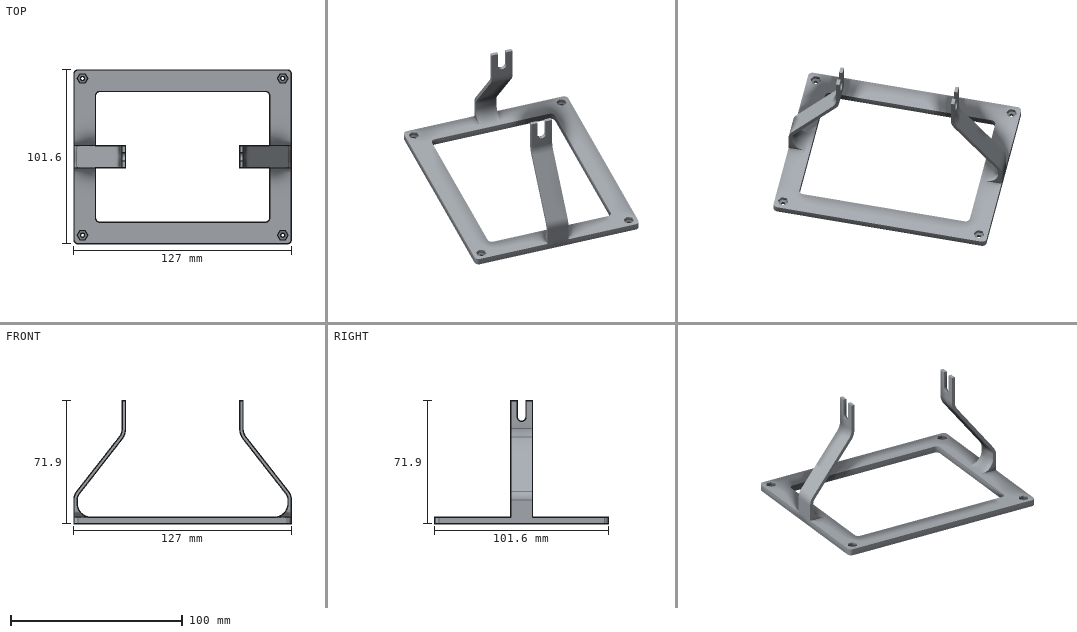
import cadquery as cq
import math

length = 127.0
width = 101.6
height = 71.9
plate_thickness = 4.0
rim_width = 12.7
corner_radius = 2.5

hole_diameter = 2.3
hole_inset = 5.1
nut_across_flats = 5.3
nut_depth = 2.0

strap_width = 13.0
strap_thickness = 2.0
strap_reach = 30.2
lower_bend_z = 16.8
upper_bend_z = 52.8
bend_outer_radius = 8.0
bend_inner_radius = bend_outer_radius - strap_thickness
foot_fillet = 8.0

slot_width = 5.0
slot_depth = 12.0


def make_frame():
    frame = cq.Workplane("XY").box(length, width, plate_thickness, centered=(True, True, False))
    window = cq.Workplane("XY").box(
        length - 2 * rim_width, width - 2 * rim_width, plate_thickness, centered=(True, True, False)
    )
    frame = frame.edges("|Z").fillet(corner_radius)
    frame = frame.cut(window.edges("|Z").fillet(corner_radius))

    hole_grid = (length - 2 * hole_inset, width - 2 * hole_inset)
    nut_across_corners = nut_across_flats / math.cos(math.radians(30))
    top = frame.faces(">Z").workplane(origin=(0, 0, plate_thickness))
    frame = top.rect(*hole_grid, forConstruction=True).vertices().hole(hole_diameter)
    nuts = (
        cq.Workplane("XY", origin=(0, 0, plate_thickness - nut_depth))
        .rect(*hole_grid, forConstruction=True)
        .vertices()
        .polygon(6, nut_across_corners)
        .extrude(nut_depth)
    )
    return frame.cut(nuts)


def make_left_strap():
    outer_x = -length / 2
    inner_x = outer_x + strap_thickness
    tip_inner_x = outer_x + strap_reach
    tip_outer_x = tip_inner_x - strap_thickness

    bend_angle = math.atan2(tip_outer_x - outer_x, upper_bend_z - lower_bend_z)
    corner_drop = strap_thickness * math.tan(bend_angle / 2)
    lower_outer = (outer_x, lower_bend_z)
    lower_inner = (inner_x, lower_bend_z - corner_drop)
    upper_outer = (tip_outer_x, upper_bend_z)
    upper_inner = (tip_inner_x, upper_bend_z - corner_drop)

    strap = (
        cq.Workplane("XZ")
        .moveTo(outer_x, plate_thickness)
        .lineTo(*lower_outer)
        .lineTo(*upper_outer)
        .lineTo(tip_outer_x, height)
        .lineTo(tip_inner_x, height)
        .lineTo(*upper_inner)
        .lineTo(*lower_inner)
        .lineTo(inner_x, plate_thickness + foot_fillet)
        .radiusArc((inner_x + foot_fillet, plate_thickness), -foot_fillet)
        .close()
        .extrude(strap_width / 2, both=True)
    )

    bends = [
        (lower_outer, bend_outer_radius),
        (lower_inner, bend_inner_radius),
        (upper_outer, bend_outer_radius),
        (upper_inner, bend_outer_radius + strap_thickness),
    ]
    for (x, z), radius in bends:
        corner = cq.selectors.NearestToPointSelector((x, 0, z))
        strap = strap.edges("|Y").edges(corner).fillet(radius)

    slot_radius = slot_width / 2
    slot_center_z = height - slot_depth + slot_radius
    slot = (
        cq.Workplane("YZ", origin=(tip_outer_x, 0, 0))
        .moveTo(-slot_radius, height)
        .lineTo(-slot_radius, slot_center_z)
        .threePointArc((0, height - slot_depth), (slot_radius, slot_center_z))
        .lineTo(slot_radius, height)
        .close()
        .extrude(strap_thickness)
    )
    return strap.cut(slot)


left_strap = make_left_strap()
right_strap = left_strap.mirror("YZ")
result = make_frame().union(left_strap).union(right_strap)